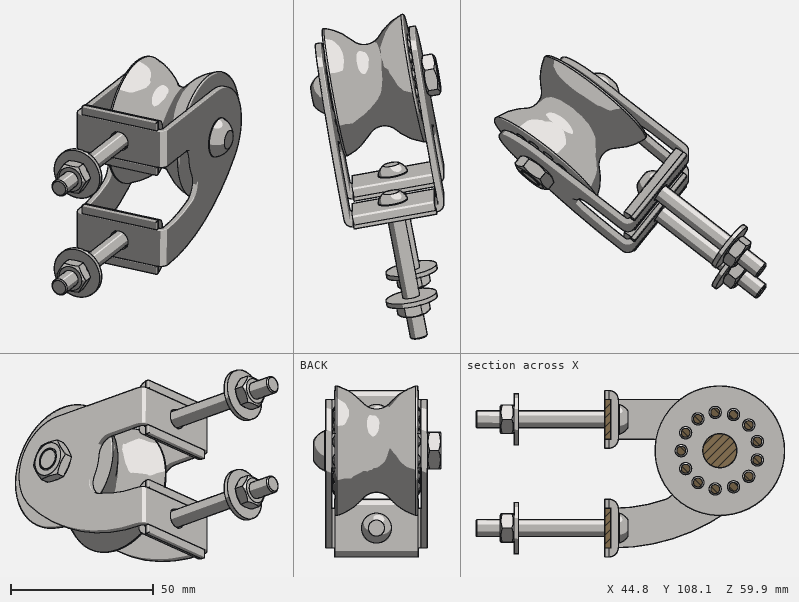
import cadquery as cq
import math


bracket_width = 35.6
plate_thickness = 2.2
bend_radius = 3.0
edge_rounding = 0.27
eye_radius = 17.9
front_face_y = -40.3
arm_height = 13.9
arm_spacing = 38.0
throat_fillet = 6.0

bar_height = 20.3
bar_thickness = 4.9
bar_rounding = 3.5
bar_edge_rounding = 0.3
lip_thickness = 1.5
lip_overhang = 0.2

bolt_diameter = 6.0
bolt_hole_diameter = 7.0
bolt_end_y = -85.4
bolt_end_chamfer = 0.4
bolt_head_diameter = 10.5
bolt_head_height = 3.4
bolt_head_flat_diameter = 5.6
washer_diameter = 18.0
washer_thickness = 1.6
washer_face_y = -70.4
nut_flats = 10.0
nut_height = 4.9
nut_face_diameter = 9.0

axle_diameter = 8.0
axle_end_diameter = 7.0
sleeve_diameter = 12.0
axle_head_diameter = 14.0
axle_head_height = 4.3
axle_head_flat_diameter = 6.7
axle_nut_flats = 13.0
axle_nut_height = 4.9
axle_nut_face_diameter = 12.0

wheel_radius = 22.7
wheel_width = 29.0
rim_width = 0.8
rim_rounding = 0.4
groove_bottom_radius = 14.6
groove_arc_radius = 6.3
groove_arc_half_width = 4.8
ball_count = 13
ball_circle_radius = 13.5
ball_diameter = 6.2
ball_protrusion = 0.9

head_band = 0.3
nut_chamfer_angle = 30

half_bracket = bracket_width / 2
half_arm = arm_height / 2
upper_arm_z = eye_radius - half_arm
lower_arm_z = upper_arm_z - arm_spacing
arm_levels = (upper_arm_z, lower_arm_z)
bend_start_y = front_face_y + bend_radius
bar_length = bracket_width - 2 * bend_radius
bar_back_y = front_face_y + bar_thickness
half_wheel = wheel_width / 2

lower_edge_z = lower_arm_z - half_arm
sweep_radius = (bend_start_y**2 + lower_edge_z**2 - eye_radius**2) / (-2 * (lower_edge_z + eye_radius))
sweep_center = (bend_start_y, lower_edge_z + sweep_radius)


def cylinder(axis_plane, center, start, end, diameter):
    """Cylinder along the normal of axis_plane, between two signed distances."""
    return (
        cq.Workplane(axis_plane).workplane(offset=start).center(*center)
        .circle(diameter / 2).extrude(end - start)
    )


def button_head(diameter, height, flat_diameter):
    """Round head standing on the XY plane: a short band, a spherical flank and a flat top."""
    base_r = diameter / 2
    flat_r = flat_diameter / 2
    sphere_z = (flat_r**2 + height**2 - base_r**2 - head_band**2) / (2 * (height - head_band))
    sphere_r = math.hypot(flat_r, height - sphere_z)
    middle_z = (height + head_band) / 2
    middle_r = math.sqrt(sphere_r**2 - (middle_z - sphere_z) ** 2)
    return (
        cq.Workplane("XZ")
        .lineTo(base_r, 0)
        .lineTo(base_r, head_band)
        .threePointArc((middle_r, middle_z), (flat_r, height))
        .lineTo(0, height)
        .close()
        .revolve(360, (0, 0), (0, 1))
    )


def hex_nut(flats, height, face_diameter):
    """Solid hexagon standing on the XY plane, corners on +-X, chamfered conically at both ends."""
    corner_r = flats / math.sqrt(3)
    face_r = face_diameter / 2
    chamfer_height = (corner_r - face_r) * math.tan(math.radians(nut_chamfer_angle))
    cone_limits = (
        cq.Workplane("XZ")
        .lineTo(face_r, 0)
        .lineTo(corner_r, chamfer_height)
        .lineTo(corner_r, height - chamfer_height)
        .lineTo(face_r, height)
        .lineTo(0, height)
        .close()
        .revolve(360, (0, 0), (0, 1))
    )
    return cq.Workplane("XY").polygon(6, 2 * corner_r).extrude(height).intersect(cone_limits)


def side_outline():
    """Side shape of the bracket, a slab across its full width: round eye and two arms."""
    eye = cylinder("YZ", (0, 0), -half_bracket, half_bracket, 2 * eye_radius)
    slab = cq.Workplane("YZ").workplane(offset=-half_bracket)
    upper_arm = (
        slab.moveTo(front_face_y, upper_arm_z - half_arm)
        .lineTo(0, upper_arm_z - half_arm)
        .lineTo(0, eye_radius)
        .lineTo(front_face_y, eye_radius)
        .close()
        .extrude(bracket_width)
    )
    reach = math.hypot(*sweep_center)
    outward = (-sweep_center[0] / reach, -sweep_center[1] / reach)
    inner_radius = sweep_radius - arm_height

    def on_arc(radius, direction):
        return (sweep_center[0] + radius * direction[0], sweep_center[1] + radius * direction[1])

    middle_angle = (math.atan2(outward[1], outward[0]) - math.pi / 2) / 2
    middle = (math.cos(middle_angle), math.sin(middle_angle))
    lower_arm = (
        slab.moveTo(front_face_y, lower_edge_z)
        .lineTo(bend_start_y, lower_edge_z)
        .threePointArc(on_arc(sweep_radius, middle), on_arc(sweep_radius, outward))
        .lineTo(*on_arc(inner_radius, outward))
        .threePointArc(on_arc(inner_radius, middle), (bend_start_y, lower_edge_z + arm_height))
        .lineTo(front_face_y, lower_edge_z + arm_height)
        .close()
        .extrude(bracket_width)
    )
    outline = eye.union(upper_arm).union(lower_arm).clean()
    corner_zone = cq.selectors.BoxSelector(
        (-half_bracket, -eye_radius, -eye_radius), (half_bracket, -eye_radius / 2, eye_radius)
    )
    return outline.edges("|X").edges(corner_zone).fillet(throat_fillet)


def bent_plate():
    """U-shaped plate with rounded bends, cut to the side outline, edges rounded."""
    length = eye_radius - front_face_y
    height = 2 * (eye_radius - lower_edge_z)

    def u_layer(inset, radius):
        return (
            cq.Workplane("XY")
            .box(bracket_width - 2 * inset, length, height, centered=(True, False, True))
            .edges("|Z and <Y").fillet(radius)
            .translate((0, front_face_y + inset, 0))
        )

    channel = u_layer(0, bend_radius).cut(u_layer(plate_thickness, bend_radius - plate_thickness))
    plate = channel.intersect(side_outline())
    front_middle = cq.selectors.BoxSelector(
        (-bend_radius, front_face_y - bend_radius, -height), (bend_radius, bend_start_y, height)
    )
    plate = plate.edges(front_middle).edges("|X").fillet(edge_rounding)
    for level in arm_levels:
        hole = cylinder("XZ", (0, level), -front_face_y - plate_thickness, -front_face_y, bolt_hole_diameter)
        plate = plate.cut(hole)
    return plate


def clamping_bar(center_z):
    """Bar rounded at the back, with two slightly longer lips in front, above and below the plate."""
    core = (
        cq.Workplane("XY")
        .box(bar_length - 2 * lip_overhang, bar_thickness, bar_height, centered=(True, False, True))
        .edges("|X and >Y").fillet(bar_rounding)
    )
    lips = cq.Workplane("XY").box(bar_length, lip_thickness, bar_height, centered=(True, False, True))
    channel = cq.Workplane("XY").box(
        bar_length, plate_thickness, arm_height, centered=(True, False, True)
    )
    bar = core.union(lips).cut(channel).faces("<Y").edges().fillet(bar_edge_rounding)
    return bar.translate((0, front_face_y, center_z))


def mounting_bolt(center_z):
    """Bolt along -Y with its head against the bar, a washer and a nut."""
    place = (0, center_z)
    shank = cylinder("XZ", place, -bar_back_y, -bolt_end_y, bolt_diameter)
    shank = shank.faces("<Y").chamfer(bolt_end_chamfer)
    washer_end = -washer_face_y + washer_thickness
    washer = cylinder("XZ", place, -washer_face_y, washer_end, washer_diameter)
    head = (
        button_head(bolt_head_diameter, bolt_head_height, bolt_head_flat_diameter)
        .rotate((0, 0, 0), (1, 0, 0), -90)
        .translate((0, bar_back_y, center_z))
    )
    nut = (
        hex_nut(nut_flats, nut_height, nut_face_diameter)
        .rotate((0, 0, 0), (1, 0, 0), 90)
        .translate((0, -washer_end, center_z))
    )
    return shank.union(washer).union(head).union(nut)


def axle():
    """Axle sleeve between the arms, a button head on the +X side and a nut on the -X side."""
    sleeve = cylinder("YZ", (0, 0), -half_bracket, half_bracket, sleeve_diameter)
    head = (
        button_head(axle_head_diameter, axle_head_height, axle_head_flat_diameter)
        .rotate((0, 0, 0), (0, 1, 0), 90)
        .translate((half_bracket, 0, 0))
    )
    nut = (
        hex_nut(axle_nut_flats, axle_nut_height, axle_nut_face_diameter)
        .rotate((0, 0, 0), (0, 0, 1), 90)
        .rotate((0, 0, 0), (0, 1, 0), -90)
        .translate((-half_bracket, 0, 0))
    )
    nut_face_x = -half_bracket - axle_nut_height
    bevel = (axle_diameter - axle_end_diameter) / 2
    ring_gap = (
        cq.Workplane("XY")
        .moveTo(nut_face_x, axle_end_diameter / 2)
        .lineTo(nut_face_x, axle_diameter / 2)
        .lineTo(nut_face_x + bevel, axle_diameter / 2)
        .close()
        .revolve(360, (0, 0), (1, 0))
    )
    return sleeve.union(head).union(nut.cut(ring_gap))


def make_frame():
    """Bracket with its clamping bars, mounting bolts and axle as one body."""
    frame = bent_plate().union(axle())
    for level in arm_levels:
        frame = frame.union(clamping_bar(level)).union(mounting_bolt(level))
    return frame


def make_wheel():
    """Grooved wheel bored for the axle sleeve, with a ring of bearing balls in both sides."""
    bore_r = sleeve_diameter / 2
    groove_rise = groove_arc_radius - math.sqrt(groove_arc_radius**2 - groove_arc_half_width**2)
    groove_side_r = groove_bottom_radius + groove_rise
    rim_x = half_wheel - rim_width
    run = rim_x - groove_arc_half_width
    rise = wheel_radius - groove_side_r
    flank_bend = math.asin(groove_arc_half_width / groove_arc_radius) - math.atan2(rise, run)
    sagitta_ratio = math.tan(flank_bend / 2) / 2
    flank_middle_x = groove_arc_half_width + run / 2 - rise * sagitta_ratio
    flank_middle_r = groove_side_r + rise / 2 + run * sagitta_ratio
    wheel = (
        cq.Workplane("XY")
        .moveTo(-half_wheel, bore_r)
        .lineTo(-half_wheel, wheel_radius)
        .lineTo(-rim_x, wheel_radius)
        .threePointArc((-flank_middle_x, flank_middle_r), (-groove_arc_half_width, groove_side_r))
        .threePointArc((0, groove_bottom_radius), (groove_arc_half_width, groove_side_r))
        .threePointArc((flank_middle_x, flank_middle_r), (rim_x, wheel_radius))
        .lineTo(half_wheel, wheel_radius)
        .lineTo(half_wheel, bore_r)
        .close()
        .revolve(360, (0, 0), (1, 0))
    )
    rims = cq.selectors.RadiusNthSelector(-1)
    wheel = wheel.faces("<X or >X").edges(rims).fillet(rim_rounding)
    ball_x = half_wheel + ball_protrusion - ball_diameter / 2
    ball = cq.Workplane("XY").sphere(ball_diameter / 2).rotate((0, 0, 0), (0, 1, 0), 90)
    for index in range(ball_count):
        angle = math.pi + 2 * math.pi * index / ball_count
        y = ball_circle_radius * math.cos(angle)
        z = ball_circle_radius * math.sin(angle)
        for x in (-ball_x, ball_x):
            wheel = wheel.union(ball.translate((x, y, z)))
    return wheel


frame = make_frame()
wheel = make_wheel()
result = cq.Compound.makeCompound([frame.solids().val(), wheel.solids().val()])